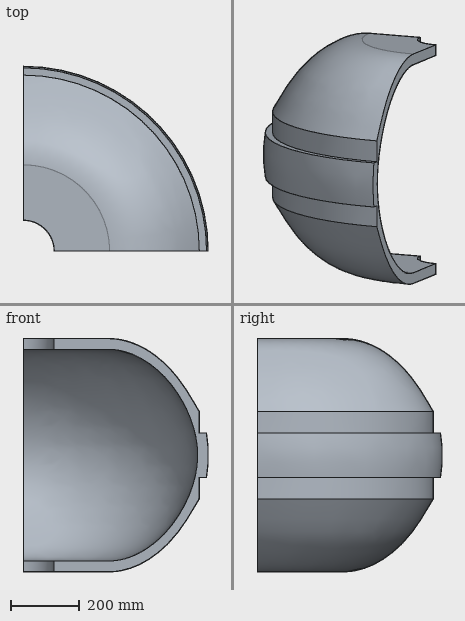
import cadquery as cq

half_height = 340.0
wall = 32.0
inner_half_height = half_height - wall
hole_radius = 90.0
flat_radius = 251.5
inner_radius = 508.0

band_radius = 539.0
band_edge_radius = 534.0
band_half_height = 65.0
land_radius = 513.0
land_half_height = 127.0

sweep_angle = 90

outer_dome = [(343.5, 316.0), (454.0, 219.5), (land_radius, land_half_height)]
inner_dome = [(375.0, 261.0), (450.0, 179.0), (491.0, 96.0), (inner_radius, 0)]

outward = (1, 0)
inward = (-1, 0)
outer_dome_slope = (0.5, -0.87)


def mirrored(points):
    """Reflect points about the mid-plane and reverse their order."""
    return [(radius, -height) for radius, height in reversed(points)]


def reflect_direction(direction):
    """Direction of travel along the reflected, reversed curve."""
    return (-direction[0], direction[1])


def outer_profile(sketch):
    """From the top hole edge around the outside to the bottom hole edge."""
    return (
        sketch.lineTo(flat_radius, half_height)
        .spline(outer_dome, tangents=[outward, outer_dome_slope], scale=False, includeCurrent=True)
        .lineTo(land_radius, band_half_height)
        .lineTo(band_edge_radius, band_half_height)
        .threePointArc((band_radius, 0), (band_edge_radius, -band_half_height))
        .lineTo(land_radius, -band_half_height)
        .lineTo(land_radius, -land_half_height)
        .spline(
            mirrored([(flat_radius, half_height)] + outer_dome[:-1]),
            tangents=[reflect_direction(outer_dome_slope), reflect_direction(outward)],
            scale=False,
            includeCurrent=True,
        )
        .lineTo(hole_radius, -half_height)
    )


def inner_profile(sketch):
    """From the bottom hole edge back up along the cavity to the top hole edge."""
    flat_edge = (flat_radius, inner_half_height)
    upper_half = inner_dome[:-1][::-1] + [flat_edge]
    cavity_points = mirrored(upper_half)[1:] + [inner_dome[-1]] + upper_half
    return (
        sketch.lineTo(hole_radius, -inner_half_height)
        .lineTo(flat_radius, -inner_half_height)
        .spline(cavity_points, tangents=[outward, inward], scale=False, includeCurrent=True)
        .lineTo(hole_radius, inner_half_height)
    )


section = cq.Workplane("XZ").moveTo(hole_radius, half_height)
section = inner_profile(outer_profile(section)).close()

result = section.revolve(sweep_angle, (0, 0, 0), (0, 1, 0))